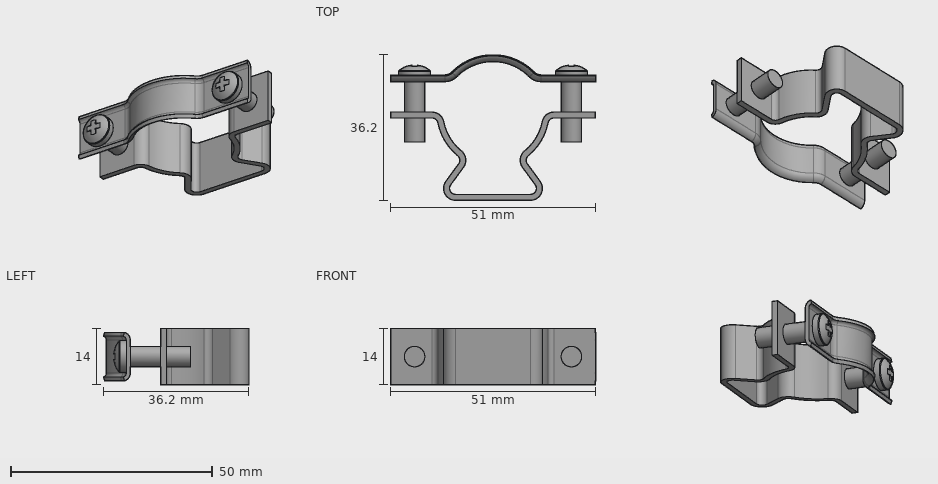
import cadquery as cq
import math


CLIP_WIDTH = 14.0
CLIP_THICKNESS = 1.55
CLIP_BEND_INNER_RADIUS = 1.5
CLIP_HALF_LENGTH = 25.45
CLIP_EAR_BACK_Y = 22.0
CLIP_BASE_HALF_FLAT = 9.3
CLIP_NECK_HALF_GAP = 6.75
CLIP_SADDLE_RADIUS = 12.45

STRAP_HALF_FLAT = 4.1
STRAP_THICKNESS = 1.0
STRAP_LIP_INNER_RADIUS = 1.0
STRAP_LIP_ANGLE = 73.0
STRAP_FRONT_Y = 29.5
STRAP_CROWN_RISE = 5.0
STRAP_BEND_RADIUS = 4.0
STRAP_EAR_INNER_X = 11.9
STRAP_END_OVERHANG = 0.1

SCREW_HALF_SPACING = 19.5
SHANK_DIAMETER = 5.1
SHANK_LENGTH = 16.0
HEAD_DIAMETER = 8.0
HEAD_SIDE_HEIGHT = 1.55
HEAD_SHOULDER_HEIGHT = 1.8
HEAD_SHOULDER_INSET = 0.15
HEAD_HEIGHT = 3.2
SLOT_WIDTH = 1.4
SLOT_DEPTH = 0.35

SCREW_XS = [-SCREW_HALF_SPACING, SCREW_HALF_SPACING]
HEAD_SEAT_Y = STRAP_FRONT_Y + STRAP_THICKNESS


def point_at(center, radius, degrees):
    """The point at an angle on a circle in the XY plane."""
    angle = math.radians(degrees)
    return (center[0] + radius * math.cos(angle), center[1] + radius * math.sin(angle))


def arc_to(path, center, radius, start, end):
    """Extend a path along a circle, from one angle to another in degrees."""
    middle = point_at(center, radius, (start + end) / 2)
    return path.threePointArc(middle, point_at(center, radius, end))


def mirrored(point):
    return (-point[0], point[1])


def drill_screw_holes(body):
    """Cut the two shank holes, along Y, through a body."""
    for x in SCREW_XS:
        shank = cq.Workplane("XZ").center(x, 0).circle(SHANK_DIAMETER / 2).extrude(SHANK_LENGTH)
        body = body.cut(shank.translate((0, HEAD_SEAT_Y, 0)))
    return body


def make_clip():
    """A flat strip bent into ears, a pipe saddle, a pinched neck and a wider base."""
    half_thickness = CLIP_THICKNESS / 2
    bend_outer = CLIP_BEND_INNER_RADIUS + CLIP_THICKNESS
    bend = CLIP_BEND_INNER_RADIUS + half_thickness
    saddle = CLIP_SADDLE_RADIUS + half_thickness

    saddle_center = (0, CLIP_EAR_BACK_Y)
    center_distance = CLIP_SADDLE_RADIUS + bend_outer
    ear_center = (math.sqrt(center_distance**2 - bend_outer**2), CLIP_EAR_BACK_Y - bend_outer)
    neck_x = CLIP_NECK_HALF_GAP + bend_outer
    neck_center = (neck_x, CLIP_EAR_BACK_Y - math.sqrt(center_distance**2 - neck_x**2))
    base_center = (CLIP_BASE_HALF_FLAT, bend_outer)

    ear_angle = math.degrees(math.asin(bend_outer / center_distance))
    neck_angle = math.degrees(math.acos(neck_x / center_distance))

    leg_x = neck_center[0] - base_center[0]
    leg_y = neck_center[1] - base_center[1]
    leg_angle = math.degrees(math.atan2(leg_y, leg_x) - math.acos(2 * bend / math.hypot(leg_x, leg_y)))

    def half_side(path):
        """From the middle of the base to the tip of the +X ear."""
        path = path.lineTo(CLIP_BASE_HALF_FLAT, half_thickness)
        path = arc_to(path, base_center, bend, -90, leg_angle)
        path = path.lineTo(*point_at(neck_center, bend, 180 + leg_angle))
        path = arc_to(path, neck_center, bend, 180 + leg_angle, 180 - neck_angle)
        path = arc_to(path, saddle_center, saddle, -neck_angle, -ear_angle)
        path = arc_to(path, ear_center, bend, 180 - ear_angle, 90)
        return path.lineTo(CLIP_HALF_LENGTH, CLIP_EAR_BACK_Y - half_thickness)

    path = half_side(cq.Workplane("XY").moveTo(0, half_thickness))
    section = cq.Workplane("YZ").center(half_thickness, 0).rect(CLIP_THICKNESS, CLIP_WIDTH)
    half_clip = section.sweep(path)
    clip = half_clip.union(half_clip.mirror("YZ"))
    return drill_screw_holes(clip)


def strap_section():
    """Channel section in the YZ plane at the -X end: a flat web with a curled lip on each edge."""
    inner = STRAP_LIP_INNER_RADIUS
    outer = inner + STRAP_THICKNESS
    center = (STRAP_FRONT_Y + outer, STRAP_HALF_FLAT)
    tip_angle = 180 - STRAP_LIP_ANGLE
    mid_angle = (180 + tip_angle) / 2

    def lower(point):
        return (point[0], -point[1])

    def lip_point(radius, degrees):
        return point_at(center, radius, degrees)

    return (
        cq.Workplane("YZ", origin=(-CLIP_HALF_LENGTH, 0, 0))
        .moveTo(*lower(lip_point(outer, 180)))
        .lineTo(*lip_point(outer, 180))
        .threePointArc(lip_point(outer, mid_angle), lip_point(outer, tip_angle))
        .lineTo(*lip_point(inner, tip_angle))
        .threePointArc(lip_point(inner, mid_angle), lip_point(inner, 180))
        .lineTo(*lower(lip_point(inner, 180)))
        .threePointArc(lower(lip_point(inner, mid_angle)), lower(lip_point(inner, tip_angle)))
        .lineTo(*lower(lip_point(outer, tip_angle)))
        .threePointArc(lower(lip_point(outer, mid_angle)), lower(lip_point(outer, 180)))
        .close()
    )


def make_strap():
    """The channel section swept along an ear, a bend, the arch over the pipe, a bend and an ear."""
    center_distance = (STRAP_EAR_INNER_X**2 + STRAP_CROWN_RISE**2) / (2 * STRAP_CROWN_RISE)
    arch_radius = center_distance - STRAP_BEND_RADIUS
    arch_center = (0, STRAP_FRONT_Y + STRAP_CROWN_RISE - arch_radius)
    right_bend = (STRAP_EAR_INNER_X, STRAP_FRONT_Y + STRAP_BEND_RADIUS)
    left_bend = mirrored(right_bend)
    bend_sweep = math.degrees(math.asin(STRAP_EAR_INNER_X / center_distance))

    path = cq.Workplane("XY").moveTo(-CLIP_HALF_LENGTH, STRAP_FRONT_Y)
    path = path.lineTo(-STRAP_EAR_INNER_X, STRAP_FRONT_Y)
    path = arc_to(path, left_bend, STRAP_BEND_RADIUS, -90, -90 + bend_sweep)
    path = arc_to(path, arch_center, arch_radius, 90 + bend_sweep, 90 - bend_sweep)
    path = arc_to(path, right_bend, STRAP_BEND_RADIUS, -90 - bend_sweep, -90)
    path = path.lineTo(CLIP_HALF_LENGTH + STRAP_END_OVERHANG, STRAP_FRONT_Y)
    return drill_screw_holes(strap_section().sweep(path))


def make_screw(x):
    """A domed screw with a shallow cross slot; its head sits on the back of the strap."""
    shank_radius = SHANK_DIAMETER / 2
    head_radius = HEAD_DIAMETER / 2
    dome_edge = head_radius - HEAD_SHOULDER_INSET
    dome_rise = HEAD_HEIGHT - HEAD_SHOULDER_HEIGHT
    dome_radius = (dome_edge**2 + dome_rise**2) / (2 * dome_rise)
    dome_mid = dome_edge / 2
    dome_mid_height = HEAD_HEIGHT - dome_radius + math.sqrt(dome_radius**2 - dome_mid**2)

    screw = (
        cq.Workplane("ZY")
        .moveTo(0, -SHANK_LENGTH)
        .lineTo(shank_radius, -SHANK_LENGTH)
        .lineTo(shank_radius, 0)
        .lineTo(head_radius, 0)
        .lineTo(head_radius, HEAD_SIDE_HEIGHT)
        .lineTo(dome_edge, HEAD_SHOULDER_HEIGHT)
        .threePointArc((dome_mid, dome_mid_height), (0, HEAD_HEIGHT))
        .close()
        .revolve(360, (0, 0, 0), (0, 1, 0))
    )
    slot = cq.Workplane("XY").box(HEAD_DIAMETER, 2 * SLOT_DEPTH, SLOT_WIDTH)
    slot = slot.union(slot.rotate((0, 0, 0), (0, 1, 0), 90))
    screw = screw.cut(slot.translate((0, HEAD_HEIGHT, 0)))
    return screw.translate((x, HEAD_SEAT_Y, 0))


clip = make_clip()
strap = make_strap()
screws = [make_screw(x).val() for x in SCREW_XS]

result = cq.Compound.makeCompound([clip.val(), strap.val(), *screws])